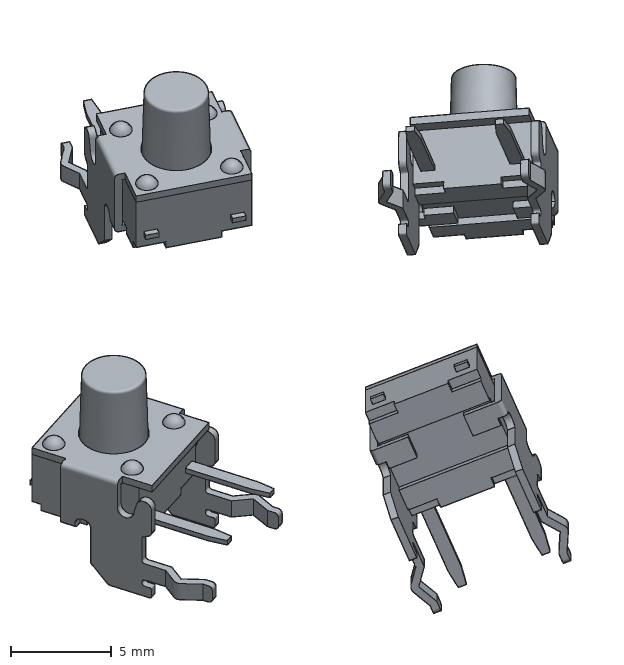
import cadquery as cq
import math


SHEET = 0.4
PLATE_LEFT = -3.75
FLAP_LEFT = -2.09
FLAP_RIGHT = 1.11
FLAP_OUTER_Y = 3.54
FLAP_INNER_Y = FLAP_OUTER_Y - SHEET
BEND_RADIUS = 0.24
BUTTON_HOLE_DIAMETER = 3.5

HOUSING_SIZE = 6.0
HOUSING_HALF = HOUSING_SIZE / 2
HOUSING_TOP = -SHEET
FOOT_HEIGHT = 0.38
HOUSING_BOTTOM = -3.68
FLOOR_Z = HOUSING_BOTTOM + FOOT_HEIGHT
CHANNEL_WIDTH = 2.68
CORNER_NOTCH_X = 0.5
CORNER_NOTCH_Y = 1.55

RIVET_OFFSET = 2.2
RIVET_POST_DIAMETER = 0.75
RIVET_HEAD_RADIUS = 0.56
RIVET_HEAD_HEIGHT = 0.39

PIN_LEFT = -7.69
PIN_RIGHT = 3.31
PIN_Y = 2.25
PIN_Z = -2.5
PIN_WIDTH = 0.7
PIN_THICKNESS = 0.28
PIN_TIP_WIDTH = 0.43
PIN_TAPER_LENGTH = 1.0

BUTTON_TOP = 3.67
BUTTON_BASE_RADIUS = 1.71
BUTTON_TOP_RADIUS = 1.6
BUTTON_EDGE_FILLET = 0.14

LEG_BOTTOM = -6.5
LEG_LEFT = -4.0
LEG_WAIST_X = -3.475
LEG_RIGHT = -0.59
LEG_CHAMFER = 1.0
HORN_TOP = -0.69
HORN_RADIUS = 0.425
SLOT_RADIUS = 0.45
SLOT_BOTTOM = -2.03
SHOULDER_Z = -2.665
SHOULDER_WAIST_Z = -2.9
SHOULDER_OUTER_FILLET = 0.35
SHOULDER_INNER_FILLET = 0.12
FOOT_SLOT_TOP = -5.5
FOOT_SLOT_BOTTOM = -5.88
FOOT_SLOT_FILLET = 0.15
LEG_CORNER_FILLET = 0.1

ARM_TIP = -7.5
ARM_HEIGHT = 1.0
ARM_TOP = FOOT_SLOT_TOP + ARM_HEIGHT
ARM_TIP_FILLET = 0.25
ARM_TIP_INNER_Y = 3.28
ARM_PEAK_Y = 4.2
ARM_TIP_BEND_X = -6.88
ARM_PEAK_X = -5.81
ARM_ROOT_BEND_X = -4.93

TAB_WIDTH = 1.2
TAB_LEFT = FLAP_RIGHT - TAB_WIDTH
TAB_INNER_Y = 1.5
RELIEF_RIGHT = 0.3
RELIEF_TOP = -2.97


def box(x_min, x_max, y_min, y_max, z_min, z_max):
    """Axis-aligned block between the given limits."""
    block = cq.Workplane("XY").box(x_max - x_min, y_max - y_min, z_max - z_min, centered=False)
    return block.translate((x_min, y_min, z_min))


def rivet_points():
    return [(sx * RIVET_OFFSET, sy * RIVET_OFFSET) for sx in (-1, 1) for sy in (-1, 1)]


def make_rivet():
    """Post through the cover plate with a domed head above it."""
    post_radius = RIVET_POST_DIAMETER / 2
    head_sphere = (RIVET_HEAD_RADIUS ** 2 + RIVET_HEAD_HEIGHT ** 2) / (2 * RIVET_HEAD_HEIGHT)
    half_angle = math.asin(RIVET_HEAD_RADIUS / head_sphere) / 2
    center_z = RIVET_HEAD_HEIGHT - head_sphere
    head_mid = (head_sphere * math.sin(half_angle), center_z + head_sphere * math.cos(half_angle))
    return (
        cq.Workplane("XZ")
        .moveTo(0, HOUSING_TOP)
        .lineTo(post_radius, HOUSING_TOP)
        .lineTo(post_radius, 0)
        .lineTo(RIVET_HEAD_RADIUS, 0)
        .threePointArc(head_mid, (0, RIVET_HEAD_HEIGHT))
        .close()
        .revolve(360, (0, 0, 0), (0, 1, 0))
    )


def make_pin(y):
    """Flat terminal running along X with a tapered tip."""
    taper_end = PIN_LEFT + PIN_TAPER_LENGTH
    half = PIN_WIDTH / 2
    tip_half = PIN_TIP_WIDTH / 2
    outline = [
        (PIN_LEFT, -tip_half),
        (taper_end, -half),
        (PIN_RIGHT, -half),
        (PIN_RIGHT, half),
        (taper_end, half),
        (PIN_LEFT, tip_half),
    ]
    pin = cq.Workplane("XY").polyline(outline).close().extrude(PIN_THICKNESS)
    return pin.translate((0, y, PIN_Z - PIN_THICKNESS / 2))


def make_housing():
    """Moulded block with two feet, its terminals and its rivets."""
    body = box(-HOUSING_HALF, HOUSING_HALF, -HOUSING_HALF, HOUSING_HALF, HOUSING_BOTTOM, HOUSING_TOP)
    half_channel = CHANNEL_WIDTH / 2
    body = body.cut(
        box(-half_channel, half_channel, -HOUSING_HALF, HOUSING_HALF, HOUSING_BOTTOM, FLOOR_Z)
    )
    notch_x = HOUSING_HALF - CORNER_NOTCH_X / 2
    notch_y = HOUSING_HALF - CORNER_NOTCH_Y / 2
    notch_z = HOUSING_BOTTOM + FOOT_HEIGHT / 2
    for sx in (-1, 1):
        for sy in (-1, 1):
            notch = cq.Workplane("XY").box(CORNER_NOTCH_X, CORNER_NOTCH_Y, FOOT_HEIGHT)
            body = body.cut(notch.translate((sx * notch_x, sy * notch_y, notch_z)))
    for side in (-1, 1):
        body = body.union(make_pin(side * PIN_Y))
    for x, y in rivet_points():
        body = body.union(make_rivet().translate((x, y, 0)))
    return body


def make_leg_outline():
    """Side shape of flap, leg and arm, as a slab thick enough to hold the arm's bulge."""
    horn_x = LEG_LEFT + HORN_RADIUS
    horn_z = HORN_TOP - HORN_RADIUS
    slot_x = FLAP_LEFT - SLOT_RADIUS
    slot_z = SLOT_BOTTOM + SLOT_RADIUS

    center_distance = math.hypot(slot_x - horn_x, slot_z - horn_z)
    center_angle = math.atan2(slot_z - horn_z, slot_x - horn_x)
    tangent_angle = center_angle + math.acos((HORN_RADIUS + SLOT_RADIUS) / center_distance)
    normal_x = math.cos(tangent_angle)
    normal_z = math.sin(tangent_angle)
    horn_end = (horn_x + HORN_RADIUS * normal_x, horn_z + HORN_RADIUS * normal_z)
    slot_start = (slot_x - SLOT_RADIUS * normal_x, slot_z - SLOT_RADIUS * normal_z)

    slab = (
        cq.Workplane("XZ")
        .moveTo(LEG_LEFT, SHOULDER_Z)
        .lineTo(LEG_LEFT, horn_z)
        .threePointArc((horn_x, HORN_TOP), horn_end)
        .lineTo(*slot_start)
        .threePointArc((slot_x, SLOT_BOTTOM), (FLAP_LEFT, slot_z))
        .lineTo(FLAP_LEFT, 0)
        .lineTo(FLAP_RIGHT, 0)
        .lineTo(FLAP_RIGHT, HOUSING_BOTTOM)
        .lineTo(RELIEF_RIGHT, HOUSING_BOTTOM)
        .lineTo(RELIEF_RIGHT, FLOOR_Z)
        .threePointArc(((LEG_RIGHT + RELIEF_RIGHT) / 2, RELIEF_TOP), (LEG_RIGHT, FLOOR_Z))
        .lineTo(LEG_RIGHT, LEG_BOTTOM + LEG_CHAMFER)
        .lineTo(LEG_RIGHT - LEG_CHAMFER, LEG_BOTTOM)
        .lineTo(LEG_LEFT, LEG_BOTTOM)
        .lineTo(LEG_LEFT, FOOT_SLOT_BOTTOM)
        .lineTo(LEG_WAIST_X, FOOT_SLOT_BOTTOM)
        .lineTo(LEG_WAIST_X, FOOT_SLOT_TOP)
        .lineTo(ARM_TIP, FOOT_SLOT_TOP)
        .lineTo(ARM_TIP, ARM_TOP)
        .lineTo(LEG_WAIST_X, ARM_TOP)
        .lineTo(LEG_WAIST_X, SHOULDER_WAIST_Z)
        .close()
        .extrude(-ARM_PEAK_Y)
    )

    corner_fillets = [
        (LEG_LEFT, SHOULDER_Z, SHOULDER_OUTER_FILLET),
        (LEG_WAIST_X, SHOULDER_WAIST_Z, SHOULDER_INNER_FILLET),
        (LEG_WAIST_X, ARM_TOP, FOOT_SLOT_FILLET),
        (ARM_TIP, ARM_TOP, ARM_TIP_FILLET),
        (ARM_TIP, FOOT_SLOT_TOP, ARM_TIP_FILLET),
        (LEG_WAIST_X, FOOT_SLOT_TOP, FOOT_SLOT_FILLET),
        (LEG_WAIST_X, FOOT_SLOT_BOTTOM, FOOT_SLOT_FILLET),
        (LEG_LEFT, FOOT_SLOT_BOTTOM, LEG_CORNER_FILLET),
        (LEG_LEFT, LEG_BOTTOM, LEG_CORNER_FILLET),
    ]
    for x, z, radius in corner_fillets:
        corner = cq.selectors.NearestToPointSelector((x, ARM_PEAK_Y / 2, z))
        slab = slab.edges("|Y").edges(corner).fillet(radius)
    return slab


def make_leg_strip():
    """Sheet bent in plan: straight tip, bulge and flat leg, over the full leg height."""
    peak_inner_y = ARM_PEAK_Y - SHEET
    tip_angle = math.atan2(peak_inner_y - ARM_TIP_INNER_Y, ARM_PEAK_X - ARM_TIP_BEND_X)
    root_angle = math.atan2(peak_inner_y - FLAP_INNER_Y, ARM_ROOT_BEND_X - ARM_PEAK_X)
    tip_bend_outer_x = ARM_TIP_BEND_X - SHEET * math.tan(tip_angle / 2)
    root_bend_outer_x = ARM_ROOT_BEND_X + SHEET * math.tan(root_angle / 2)
    arc_tip = (
        ARM_PEAK_X - SHEET * math.sin(tip_angle),
        peak_inner_y + SHEET * math.cos(tip_angle),
    )
    arc_root = (
        ARM_PEAK_X + SHEET * math.sin(root_angle),
        peak_inner_y + SHEET * math.cos(root_angle),
    )
    return (
        cq.Workplane("XY")
        .workplane(offset=LEG_BOTTOM)
        .moveTo(ARM_TIP, ARM_TIP_INNER_Y)
        .lineTo(ARM_TIP_BEND_X, ARM_TIP_INNER_Y)
        .lineTo(ARM_PEAK_X, peak_inner_y)
        .lineTo(ARM_ROOT_BEND_X, FLAP_INNER_Y)
        .lineTo(FLAP_RIGHT, FLAP_INNER_Y)
        .lineTo(FLAP_RIGHT, FLAP_OUTER_Y)
        .lineTo(root_bend_outer_x, FLAP_OUTER_Y)
        .lineTo(*arc_root)
        .threePointArc((ARM_PEAK_X, ARM_PEAK_Y), arc_tip)
        .lineTo(tip_bend_outer_x, ARM_TIP_INNER_Y + SHEET)
        .lineTo(ARM_TIP, ARM_TIP_INNER_Y + SHEET)
        .close()
        .extrude(-LEG_BOTTOM)
    )


def make_side():
    """Side flap, leg, arm and retaining tab on the +Y side, with rounded folds."""
    side = make_leg_outline().intersect(make_leg_strip())
    plate_link = box(FLAP_LEFT, FLAP_RIGHT, 0, FLAP_INNER_Y, -SHEET, 0)
    tab_neck = box(RELIEF_RIGHT, FLAP_RIGHT, TAB_INNER_Y, FLAP_INNER_Y, HOUSING_BOTTOM, FLOOR_Z)
    tab = box(TAB_LEFT, FLAP_RIGHT, TAB_INNER_Y, HOUSING_HALF, HOUSING_BOTTOM, FLOOR_Z)
    side = side.union(plate_link).union(tab_neck).union(tab).clean()
    upper_fold = ((FLAP_LEFT + FLAP_RIGHT) / 2, FLAP_OUTER_Y, 0)
    lower_fold = ((RELIEF_RIGHT + FLAP_RIGHT) / 2, FLAP_OUTER_Y, HOUSING_BOTTOM)
    for fold in (upper_fold, lower_fold):
        side = side.edges("|X").edges(cq.selectors.NearestToPointSelector(fold)).fillet(BEND_RADIUS)
    return side


def make_cover():
    """Top plate with both sides and its button and rivet holes."""
    side = make_side()
    plate = box(PLATE_LEFT, HOUSING_HALF, -HOUSING_HALF, HOUSING_HALF, -SHEET, 0)
    plate = plate.union(side).union(side.mirror("XZ"))
    button_hole = cq.Workplane("XY").circle(BUTTON_HOLE_DIAMETER / 2).extrude(-SHEET)
    rivet_holes = (
        cq.Workplane("XY")
        .pushPoints(rivet_points())
        .circle(RIVET_POST_DIAMETER / 2)
        .extrude(-SHEET)
    )
    return plate.cut(button_hole).cut(rivet_holes)


def make_button():
    """Tapered plunger standing on the housing, with a rounded top edge."""
    profile = [
        (0, HOUSING_TOP),
        (BUTTON_BASE_RADIUS, HOUSING_TOP),
        (BUTTON_TOP_RADIUS, BUTTON_TOP),
        (0, BUTTON_TOP),
    ]
    plunger = cq.Workplane("XZ").polyline(profile).close().revolve(360, (0, 0, 0), (0, 1, 0))
    return plunger.faces(">Z").edges().fillet(BUTTON_EDGE_FILLET)


housing = make_housing()
cover = make_cover()
button = make_button()

result = cq.Compound.makeCompound([housing.val(), cover.val(), button.val()])